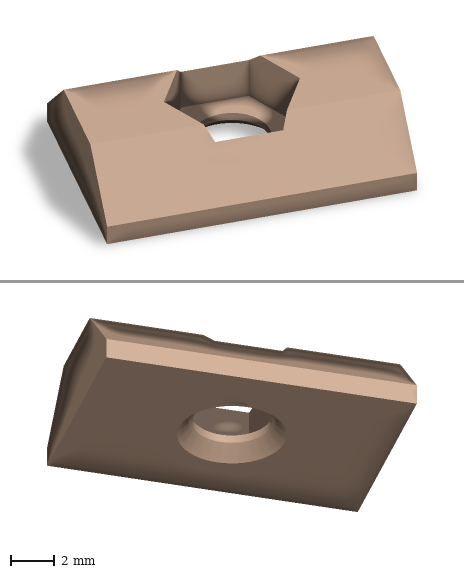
import cadquery as cq
import math

length = 15.0
width = 10.0
height = 3.8
side_height = 1.0
slope_run = height - side_height
top_width = width - 2 * slope_run

hex_across_flats = 5.7
hex_across_corners = hex_across_flats / math.cos(math.pi / 6)
pocket_depth = 2.7
hole_diameter = 3.7

flare_diameter = 5.1
flare_height = (flare_diameter - hole_diameter) / 2


def make_body():
    """Extrude the bar's cross-section along Y, with its base on Z = 0."""
    profile = [
        (-width / 2, 0),
        (width / 2, 0),
        (width / 2, side_height),
        (top_width / 2, height),
        (-top_width / 2, height),
        (-width / 2, side_height),
    ]
    return cq.Workplane("XZ").polyline(profile).close().extrude(length / 2, both=True)


def make_nut_pocket():
    """Hexagonal prism with flats facing X and corners pointing along Y."""
    return (
        cq.Workplane("XY", origin=(0, 0, height - pocket_depth))
        .transformed(rotate=(0, 0, 90))
        .polygon(6, hex_across_corners)
        .extrude(pocket_depth)
    )


def make_hole():
    """Cylinder running through the full height of the bar."""
    return cq.Workplane("XY").circle(hole_diameter / 2).extrude(height)


def make_flare():
    """Cone that narrows upward from the base to the hole diameter."""
    return (
        cq.Workplane("XY")
        .circle(flare_diameter / 2)
        .workplane(offset=flare_height)
        .circle(hole_diameter / 2)
        .loft(ruled=True)
    )


result = make_body().cut(make_nut_pocket()).cut(make_hole()).cut(make_flare())